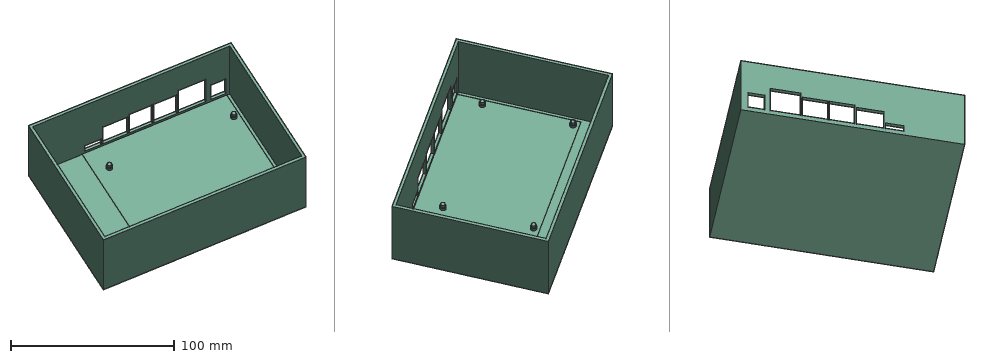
import cadquery as cq

LENGTH_X = 100.0
LENGTH_Y = 140.0
HEIGHT = 50.0
WALL = HEIGHT / 25
FLOOR = WALL

PAD_LENGTH_X = 79.0
PAD_LENGTH_Y = 100.0
PAD_HEIGHT = 0.2
PAD_GAP_Y = WALL

POST_DIAMETER = 4.0
PIN_DIAMETER = 2.8
POST_TOP = FLOOR + WALL
PIN_HEIGHT = WALL
POST_SPACING_X = 58.0
POST_SPACING_Y = 86.0
POST_INSET_X = 17.1
POST_INSET_Y = 3 * WALL

WINDOW_SILL = 4.0
WINDOWS = [
    (4.6, 10.4, 14.4),
    (18.5, 19.0, 22.3),
    (38.5, 16.0, 18.5),
    (55.3, 16.0, 18.5),
    (72.4, 17.2, 16.5),
    (90.6, 11.5, 5.3),
]

OUTER_LEFT = -LENGTH_X / 2
OUTER_BACK = LENGTH_Y / 2
INNER_LEFT = OUTER_LEFT + WALL
INNER_BACK = OUTER_BACK - WALL


def make_shell():
    outer = cq.Workplane("XY").box(LENGTH_X, LENGTH_Y, HEIGHT, centered=(True, True, False))
    cavity = (
        cq.Workplane("XY", origin=(0, 0, FLOOR))
        .box(LENGTH_X - 2 * WALL, LENGTH_Y - 2 * WALL, HEIGHT - FLOOR, centered=(True, True, False))
    )
    return outer.cut(cavity)


def make_pad():
    """Pad rooted in the floor so that it joins it solidly."""
    pad_front = INNER_BACK - PAD_GAP_Y - PAD_LENGTH_Y
    return (
        cq.Workplane("XY", origin=(INNER_LEFT, pad_front, 0))
        .box(PAD_LENGTH_X, PAD_LENGTH_Y, FLOOR + PAD_HEIGHT, centered=False)
    )


def make_posts():
    """Four posts and their pins, rooted in the floor."""
    first_x = INNER_LEFT + POST_INSET_X
    first_y = INNER_BACK - POST_INSET_Y
    positions = [
        (x, y)
        for x in (first_x, first_x + POST_SPACING_X)
        for y in (first_y, first_y - POST_SPACING_Y)
    ]
    posts = cq.Workplane("XY").pushPoints(positions).circle(POST_DIAMETER / 2).extrude(POST_TOP)
    pins = cq.Workplane("XY").pushPoints(positions).circle(PIN_DIAMETER / 2).extrude(POST_TOP + PIN_HEIGHT)
    return posts.union(pins)


def make_window(offset, width, height):
    """Cutter for one window, exactly as deep as the wall."""
    return (
        cq.Workplane("XY", origin=(OUTER_LEFT, OUTER_BACK - offset - width, WINDOW_SILL))
        .box(WALL, width, height, centered=False)
    )


result = make_shell().union(make_pad()).union(make_posts())
for window in WINDOWS:
    result = result.cut(make_window(*window))